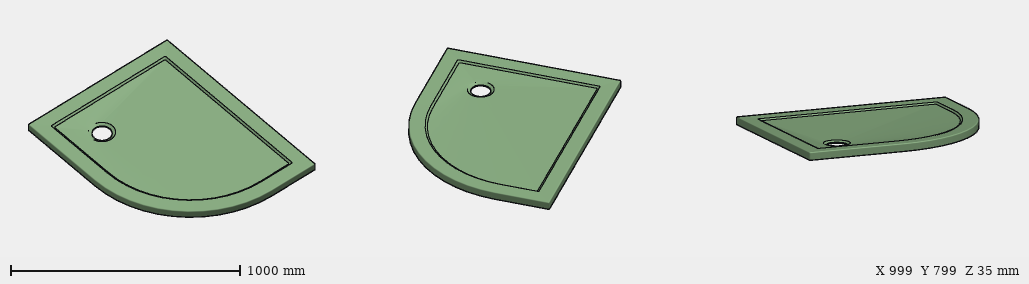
import cadquery as cq
import math

length = 999.0
width = 799.0
height = 35.0
bow_radius = 550.0

corner_radius = 6.0
edge_radius = 5.0

lip_width = 1.5
rim_inset = 72.0
floor_inset = 82.0
basin_corner_radius = 5.0
rim_inner_height = 33.0
floor_edge_height = 26.0

drain_x = 230.0
drain_y = 230.0
seat_radius = 59.0
hole_radius = 44.0
seat_top_height = 12.0
seat_depth = 6.5


def arc_between(center, radius, start_angle, end_angle, z):
    """Arc edge around a vertical axis, with angles in degrees."""

    def point(angle):
        turn = math.radians(angle)
        return cq.Vector(center[0] + radius * math.cos(turn), center[1] + radius * math.sin(turn), z)

    middle_angle = (start_angle + end_angle) / 2
    return cq.Edge.makeThreePointArc(point(start_angle), point(middle_angle), point(end_angle))


def tray_edges(inset, corner, z):
    """Outline moved inwards, counterclockwise from the lower end of the bow."""
    left, right = inset, length - inset
    front, back = inset, width - inset
    bow_center = (length - bow_radius, bow_radius)
    bow = arc_between(bow_center, bow_radius - inset, -90, 0, z)
    back_right = arc_between((right - corner, back - corner), corner, 0, 90, z)
    back_left = arc_between((left + corner, back - corner), corner, 90, 180, z)
    front_left = arc_between((left + corner, front + corner), corner, 180, 270, z)
    rounds = [bow, back_right, back_left, front_left]
    edges = []
    for current, following in zip(rounds, rounds[1:] + rounds[:1]):
        edges.append(current)
        edges.append(cq.Edge.makeLine(current.endPoint(), following.startPoint()))
    return edges


def drain_arcs(floor_edges, z):
    """Drain circle as arcs, split in proportion to the lengths of the floor edges."""
    lengths = [edge.Length() for edge in floor_edges]
    degrees_per_length = 360 / sum(lengths)
    left_side = 5
    angle = 180 - (sum(lengths[:left_side]) + lengths[left_side] / 2) * degrees_per_length
    arcs = []
    for edge_length in lengths:
        next_angle = angle + edge_length * degrees_per_length
        arcs.append(arc_between((drain_x, drain_y), seat_radius, angle, next_angle, z))
        angle = next_angle
    return arcs


def make_body():
    base = cq.Face.makeFromWires(cq.Wire.assembleEdges(tray_edges(0, corner_radius, 0)))
    block = cq.Solid.extrudeLinear(base, cq.Vector(0, 0, height))
    return cq.Workplane(obj=block).faces(">Z").edges().fillet(edge_radius)


def make_basin():
    rim_outer = tray_edges(edge_radius + lip_width, basin_corner_radius, height)
    rim_inner = tray_edges(rim_inset, basin_corner_radius, rim_inner_height)
    floor_edge = tray_edges(floor_inset, basin_corner_radius, floor_edge_height)
    drain = drain_arcs(floor_edge, seat_top_height)
    rings = [rim_outer, rim_inner, floor_edge, drain]
    faces = [cq.Face.makeFromWires(cq.Wire.assembleEdges(ring)) for ring in (rim_outer, drain)]
    for upper_ring, lower_ring in zip(rings, rings[1:]):
        for upper, lower in zip(upper_ring, lower_ring):
            faces.append(cq.Face.makeRuledSurface(upper, lower))
    return cq.Solid.makeSolid(cq.Shell.makeShell(faces))


def make_drain():
    seat = cq.Solid.makeCone(
        hole_radius, seat_radius, seat_depth, cq.Vector(drain_x, drain_y, seat_top_height - seat_depth)
    )
    hole = cq.Solid.makeCylinder(hole_radius, height, cq.Vector(drain_x, drain_y, 0))
    return seat.fuse(hole)


result = make_body().cut(cq.Workplane(obj=make_basin())).cut(cq.Workplane(obj=make_drain()))